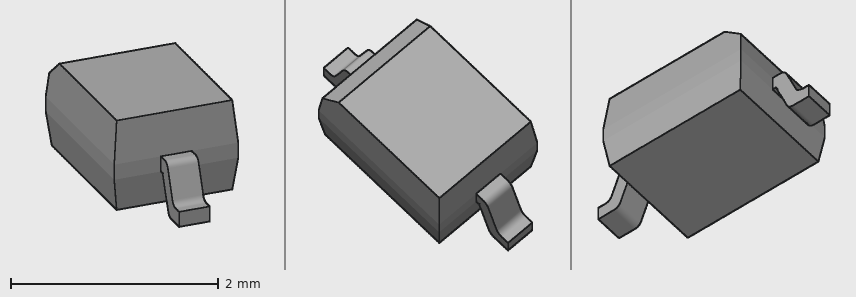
import cadquery as cq
import math

SPAN = 2.6
TOP_Z = 1.0

HOUSING_LENGTH = 1.7
HOUSING_WIDTH = 1.3
HOUSING_BOTTOM_Z = 0.05
BELT_TOP_Z = 0.56
TAPER_INSET = 0.045
BEVEL_RUN = 0.192
BEVEL_DROP = 0.187

LEAD_WIDTH = 0.322
LEAD_THICKNESS = 0.16
BELT_BOTTOM_Z = BELT_TOP_Z - LEAD_THICKNESS
KNEE_GAP = 0.042
LEG_LEAN = 21.5
BEND_RADIUS = 0.083


def tapered_half(start_z, end_z):
    """Loft from the belt outline at start_z to the smaller outline at end_z."""
    return (
        cq.Workplane("XY", origin=(0, 0, start_z))
        .rect(HOUSING_LENGTH, HOUSING_WIDTH)
        .workplane(offset=end_z - start_z)
        .rect(HOUSING_LENGTH - 2 * TAPER_INSET, HOUSING_WIDTH - 2 * TAPER_INSET)
        .loft(ruled=True)
    )


def bevel_cutter():
    """Triangular prism that removes the -X top edge of the housing."""
    top_edge_x = -HOUSING_LENGTH / 2 + TAPER_INSET
    wall_slope = TAPER_INSET / (TOP_Z - BELT_TOP_Z)
    inner_x = top_edge_x + BEVEL_RUN
    low_x = top_edge_x - BEVEL_DROP * wall_slope
    low_z = TOP_Z - BEVEL_DROP
    extend_x = inner_x - low_x
    return (
        cq.Workplane("XZ")
        .moveTo(inner_x + extend_x, TOP_Z + BEVEL_DROP)
        .lineTo(low_x - extend_x, low_z - BEVEL_DROP)
        .lineTo(low_x - extend_x, TOP_Z + BEVEL_DROP)
        .close()
        .extrude(HOUSING_WIDTH / 2, both=True)
    )


def make_housing():
    belt = (
        cq.Workplane("XY", origin=(0, 0, BELT_BOTTOM_Z))
        .rect(HOUSING_LENGTH, HOUSING_WIDTH)
        .extrude(LEAD_THICKNESS)
    )
    upper_half = tapered_half(BELT_TOP_Z, TOP_Z)
    lower_half = tapered_half(BELT_BOTTOM_Z, HOUSING_BOTTOM_Z)
    housing = belt.union(upper_half).union(lower_half).cut(bevel_cutter())
    return housing.solids()


def make_lead(side):
    """Bent strip from the housing wall to the foot; side is -1 or +1 along X."""
    lean = math.radians(LEG_LEAN)
    wall_x = HOUSING_LENGTH / 2
    knee_x = wall_x + KNEE_GAP
    sole_x = knee_x + BELT_BOTTOM_Z * math.tan(lean)
    leg_run = LEAD_THICKNESS / math.cos(lean)
    shoulder_x = knee_x - LEAD_THICKNESS * math.tan(lean) + leg_run
    ankle_x = sole_x - LEAD_THICKNESS * math.tan(lean) + leg_run
    outline = [
        (wall_x, BELT_TOP_Z),
        (shoulder_x, BELT_TOP_Z),
        (ankle_x, LEAD_THICKNESS),
        (SPAN / 2, LEAD_THICKNESS),
        (SPAN / 2, 0),
        (sole_x, 0),
        (knee_x, BELT_BOTTOM_Z),
        (wall_x, BELT_BOTTOM_Z),
    ]
    bends = [(shoulder_x, BELT_TOP_Z), (ankle_x, LEAD_THICKNESS), (sole_x, 0)]
    lead = (
        cq.Workplane("XZ")
        .polyline([(side * x, z) for x, z in outline])
        .close()
        .extrude(LEAD_WIDTH / 2, both=True)
    )
    for x, z in bends:
        bend_edge = cq.selectors.NearestToPointSelector((side * x, 0, z))
        lead = lead.edges("|Y").edges(bend_edge).fillet(BEND_RADIUS)
    return lead.solids()


housing = make_housing()
leads = [make_lead(side) for side in (-1, 1)]

result = cq.Compound.makeCompound([housing.val(), *[lead.val() for lead in leads]])